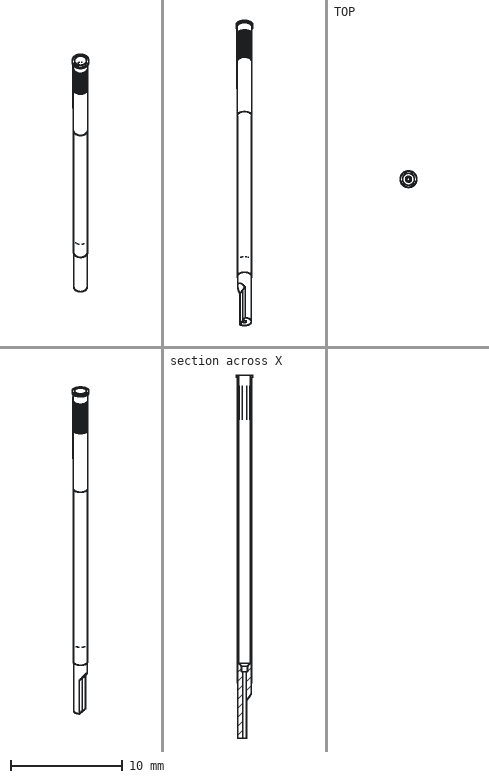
import cadquery as cq
import math

total_length = 32.7
flange_thickness = 0.2
knurl_bottom = 28.7
knurl_length = 3.0
collar_bottom = 22.7
tail_length = 5.0

flange_diameter = 1.5
collar_diameter = 1.35
barrel_diameter = 1.3
tail_diameter = 1.25

bore_diameter = 1.08
seat_diameter = 0.52
passage_diameter = 0.3
bore_taper_angle = 90.0
bore_floor = 6.0
seat_depth = 0.5

groove_count = 36
groove_depth = 0.03

cutaway_offset = 0.2
cutaway_flat_top = 3.4
cutaway_ramp_top = 4.0


def cylinder(diameter, bottom, top):
    """Solid cylinder on the Z axis between two heights."""
    return cq.Workplane("XY", origin=(0, 0, bottom)).circle(diameter / 2).extrude(top - bottom)


def make_body():
    """Tail, barrel, collar and end flange, stacked from the bottom up."""
    tail = cylinder(tail_diameter, 0, tail_length)
    barrel = cylinder(barrel_diameter, tail_length, collar_bottom)
    collar = cylinder(collar_diameter, collar_bottom, total_length)
    flange = cylinder(flange_diameter, total_length - flange_thickness, total_length)
    return tail.union(barrel).union(collar).union(flange)


def make_bore():
    """Wide bore from the top, tapering to a seat and a small passage to the bottom."""
    bore_radius = bore_diameter / 2
    seat_radius = seat_diameter / 2
    passage_radius = passage_diameter / 2
    taper_height = (bore_radius - seat_radius) / math.tan(math.radians(bore_taper_angle / 2))
    taper_bottom = bore_floor + seat_depth
    taper_top = taper_bottom + taper_height
    return (
        cq.Workplane("XZ")
        .moveTo(0, 0)
        .lineTo(passage_radius, 0)
        .lineTo(passage_radius, bore_floor)
        .lineTo(seat_radius, bore_floor)
        .lineTo(seat_radius, taper_bottom)
        .lineTo(bore_radius, taper_top)
        .lineTo(bore_radius, total_length)
        .lineTo(0, total_length)
        .close()
        .revolve(360, (0, 0, 0), (0, 1, 0))
    )


def make_knurl_grooves():
    """Ring of axial V-grooves: square bars standing corner-first on the collar surface."""
    bars = cq.Workplane("XY", origin=(0, 0, knurl_bottom))
    bars = bars.polarArray(collar_diameter / 2, 0, 360, groove_count)
    return bars.polygon(4, 2 * groove_depth).extrude(knurl_length)


def make_cutaway():
    """Block that leaves a flat on the tail, ending in a ramp at its upper end."""
    clear_of_part = flange_diameter / 2
    return (
        cq.Workplane("YZ", origin=(-clear_of_part, 0, 0))
        .moveTo(cutaway_offset, 0)
        .lineTo(cutaway_offset, cutaway_flat_top)
        .lineTo(tail_diameter / 2, cutaway_ramp_top)
        .lineTo(clear_of_part, cutaway_ramp_top)
        .lineTo(clear_of_part, 0)
        .close()
        .extrude(2 * clear_of_part)
    )


result = make_body().cut(make_bore()).cut(make_knurl_grooves()).cut(make_cutaway())